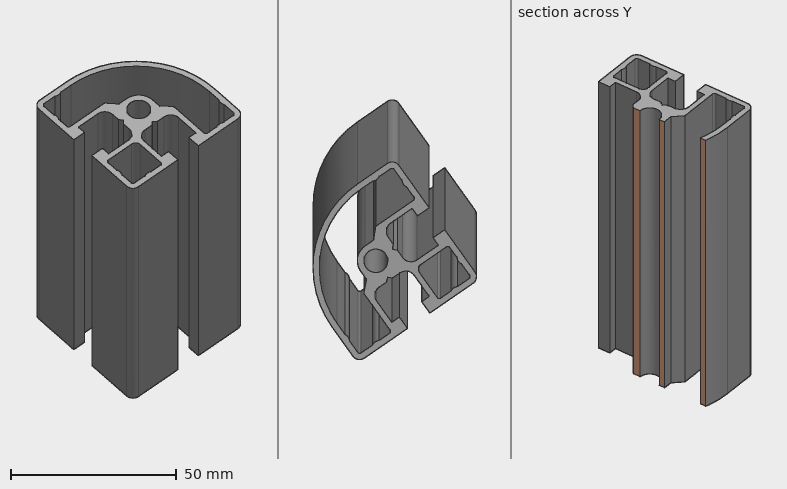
import cadquery as cq
import math

side = 45.0
length = 100.0
half_side = side / 2
corner_radius = 2.5
outer_arc_radius = 31.5
wall = 1.9

opening_half_width = 4.1
slot_half_width = 6.9
slot_floor = 7.2
slot_corner_radius = 3.1
lip_thickness = 4.3
notch_half_width = 1.1
notch_depth = 1.0

web = 1.8
bore_diameter = 7.2
boss_radius = 5.6
web_chamfer = 3.0
web_chamfer_end = 6.1
cavity_corner_radius = 0.7
box_core_corner_radius = 1.8

ridge_offset = 14.4
ridge_half_width = 1.2
ridge_height = 0.3

inner_face = half_side - wall
web_face = slot_half_width + web
arc_centre = outer_arc_radius - half_side
inner_arc_radius = outer_arc_radius - wall


def block(x_min, x_max, y_min, y_max):
    width = x_max - x_min
    depth = y_max - y_min
    return cq.Workplane("XY").box(width, depth, length, centered=False).translate((x_min, y_min, 0))


def vertical_edge_at(x, y):
    """Select the vertical edge passing through the point (x, y)."""
    return cq.selectors.NearestToPointSelector((x, y, length / 2))


def quarter_round(half_size, arc_radius):
    """Square prism whose (-X, +Y) corner is one large arc."""
    arc_offset = arc_radius * math.sqrt(0.5)
    return (
        cq.Workplane("XY")
        .moveTo(-half_size, -half_size)
        .lineTo(half_size, -half_size)
        .lineTo(half_size, half_size)
        .lineTo(arc_centre, half_size)
        .threePointArc((arc_centre - arc_offset, arc_offset - arc_centre), (-half_size, -arc_centre))
        .close()
        .extrude(length)
    )


def round_corners(solid, points, radius):
    for x, y in points:
        solid = solid.edges(vertical_edge_at(x, y)).fillet(radius)
    return solid


def make_body():
    corners = [(-half_side, -half_side), (half_side, -half_side), (half_side, half_side)]
    return round_corners(quarter_round(half_side, outer_arc_radius), corners, corner_radius)


def make_core():
    """Material kept around the bore, the slots and the box cavity."""
    chamfer_start = web_chamfer_end - web_chamfer
    boss_mid = boss_radius * math.sqrt(0.5)
    return (
        cq.Workplane("XY")
        .moveTo(-web_face, -half_side)
        .lineTo(-web_face, -web_chamfer_end)
        .lineTo(-boss_radius, -chamfer_start)
        .lineTo(-boss_radius, 0)
        .threePointArc((-boss_mid, boss_mid), (0, boss_radius))
        .lineTo(chamfer_start, boss_radius)
        .lineTo(web_chamfer_end, web_face)
        .lineTo(half_side, web_face)
        .lineTo(half_side, -half_side)
        .close()
        .extrude(length)
    )


def make_curved_cavity():
    cavity = quarter_round(inner_face, inner_arc_radius).cut(make_core())
    corners = [
        (-inner_face, -inner_face),
        (-web_face, -inner_face),
        (inner_face, inner_face),
        (inner_face, web_face),
    ]
    return round_corners(cavity, corners, cavity_corner_radius)


def make_box_cavity():
    cavity = block(web_face, inner_face, -inner_face, -web_face)
    cavity = round_corners(cavity, [(web_face, -web_face)], box_core_corner_radius)
    corners = [(web_face, -inner_face), (inner_face, -inner_face), (inner_face, -web_face)]
    return round_corners(cavity, corners, cavity_corner_radius)


def make_slot():
    """Slot opening through the bottom side, with a V-notch in its floor."""
    lip_inner_face = lip_thickness - half_side
    chamber = block(-slot_half_width, slot_half_width, lip_inner_face, -slot_floor)
    floor_corners = [(-slot_half_width, -slot_floor), (slot_half_width, -slot_floor)]
    chamber = round_corners(chamber, floor_corners, slot_corner_radius)
    opening = block(-opening_half_width, opening_half_width, -half_side, lip_inner_face)
    notch = (
        cq.Workplane("XY")
        .moveTo(-notch_half_width, -slot_floor)
        .lineTo(notch_half_width, -slot_floor)
        .lineTo(0, notch_depth - slot_floor)
        .close()
        .extrude(length)
    )
    return chamber.union(opening).union(notch)


def make_ridge(position):
    """Shallow curved ridge on the inside of the bottom wall."""
    return (
        cq.Workplane("XY")
        .moveTo(position - ridge_half_width, -inner_face)
        .threePointArc((position, ridge_height - inner_face), (position + ridge_half_width, -inner_face))
        .lineTo(position + ridge_half_width, -half_side + wall / 2)
        .lineTo(position - ridge_half_width, -half_side + wall / 2)
        .close()
        .extrude(length)
    )


def turned(solid, angle):
    return solid.rotate((0, 0, 0), (0, 0, 1), angle)


result = make_body().cut(make_curved_cavity()).cut(make_box_cavity())

slot = make_slot()
for slot_angle in (0, 90):
    result = result.cut(turned(slot, slot_angle))

bore = cq.Workplane("XY").circle(bore_diameter / 2).extrude(length)
result = result.cut(bore)

ridge_places = [
    (0, -ridge_offset),
    (0, ridge_offset),
    (90, -ridge_offset),
    (90, ridge_offset),
    (180, -ridge_offset),
    (270, ridge_offset),
]
for wall_angle, ridge_position in ridge_places:
    result = result.union(turned(make_ridge(ridge_position), wall_angle))